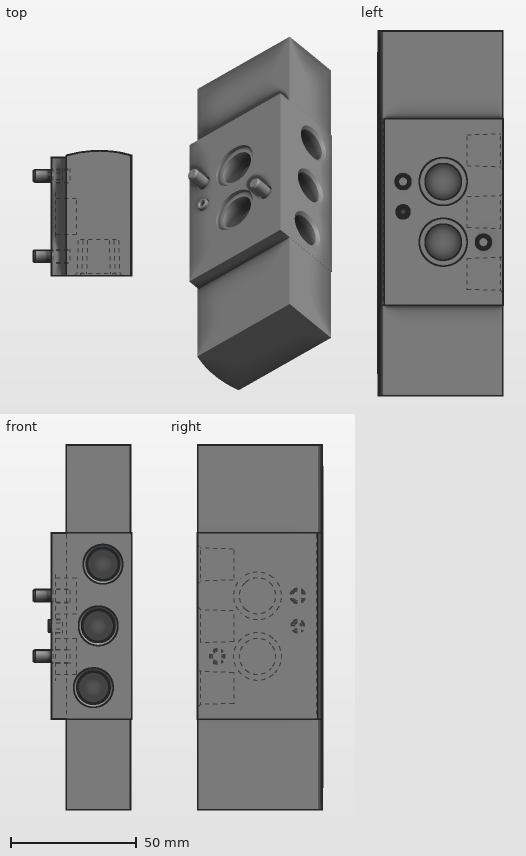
import cadquery as cq


BLOCK_WIDTH = 31.9
BLOCK_HEIGHT = 74.0
BLOCK_LEDGE_DEPTH = 47.1
BLOCK_RIGHT_DEPTH = 47.8

CROWN_START_X = 5.8
CROWN_TOP_Y = 49.7
BLOCK_CREST_X = 19.9

TOTAL_HEIGHT = 145.0
TOP_CAP_HEIGHT = 35.0
CAP_FRONT_SETBACK = 0.07
CAP_RIGHT_SETBACK = 0.5
CAP_SIDE_DEPTH = 47.8
CAP_EDGE_RADIUS = 0.6

SUPPLY_MOUTH_DIAMETER = 15.7
SUPPLY_BORE_DIAMETER = 13.2
SUPPLY_END_DIAMETER = 12.3
SUPPLY_CHAMFER = 1.2
SUPPLY_DEPTH = 14.5
SUPPLY_PITCH = 24.5
SUPPLY_SHIFT = 1.9
SUPPLY_MIDDLE_X = 18.5

OUTLET_BORE_DIAMETER = 14.4
OUTLET_DEPTH = 9.9
SEAL_RECESS_DIAMETER = 19.0
SEAL_RECESS_DEPTH = 1.6
OUTLET_PITCH = 24.0
OUTLET_Y = 23.8

SCREW_DIAMETER = 5.0
SCREW_PROJECTION = 7.2
SCREW_TIP_DIAMETER = 3.9
SCREW_TIP_LENGTH = 0.7
SCREW_HOLE_DIAMETER = 5.5
SCREW_HOLE_MOUTH_DIAMETER = 6.2
SCREW_HOLE_CHAMFER = 0.5
SCREW_HOLE_DEPTH = 7.2
SCREW_OFFSET_Y = 16.0

SLEEVE_DIAMETER = 5.0
SLEEVE_PROJECTION = 1.3
SLEEVE_BORE_DIAMETER = 2.5
SLEEVE_MOUTH_DIAMETER = 3.2
SLEEVE_BORE_CHAMFER = 0.5
SLEEVE_RIM_CHAMFER = 0.3
SLEEVE_HOLE_DIAMETER = 5.5
SLEEVE_HOLE_DEPTH = 4.4

CAP_RIGHT_X = BLOCK_WIDTH - CAP_RIGHT_SETBACK
CAP_CREST_X = (CROWN_START_X + CAP_RIGHT_X) / 2
CAP_TOP_Z = BLOCK_HEIGHT / 2 + TOP_CAP_HEIGHT
UPPER_ROW_Z = OUTLET_PITCH / 2
LOWER_ROW_Z = -OUTLET_PITCH / 2
SCREW_PLACES = [
    (OUTLET_Y + SCREW_OFFSET_Y, UPPER_ROW_Z),
    (OUTLET_Y - SCREW_OFFSET_Y, LOWER_ROW_Z),
]
SLEEVE_PLACE = (OUTLET_Y + SCREW_OFFSET_Y, 0)


def cylinder_x(diameter, depth, y, z):
    """Cylinder from the outlet face into the block."""
    return cq.Workplane("YZ", origin=(0, y, z)).circle(diameter / 2).extrude(depth)


def turned_x(profile, y, z):
    """Body turned about an axis along X; profile points are (x, radius)."""
    turned = cq.Workplane("XY").polyline(profile).close().revolve(360, (0, 0, 0), (1, 0, 0))
    return turned.translate((0, y, z))



def valve_block():
    return (
        cq.Workplane("XY", origin=(0, 0, -BLOCK_HEIGHT / 2))
        .lineTo(BLOCK_WIDTH, 0)
        .lineTo(BLOCK_WIDTH, BLOCK_RIGHT_DEPTH)
        .threePointArc((BLOCK_CREST_X, CROWN_TOP_Y), (CROWN_START_X, BLOCK_LEDGE_DEPTH))
        .lineTo(0, BLOCK_LEDGE_DEPTH)
        .close()
        .extrude(BLOCK_HEIGHT)
    )


def end_caps():
    """One full-height prism; its ends stand out of the block as the two caps."""
    prism = (
        cq.Workplane("XY", origin=(0, 0, CAP_TOP_Z - TOTAL_HEIGHT))
        .moveTo(CROWN_START_X, CAP_FRONT_SETBACK)
        .lineTo(CAP_RIGHT_X, CAP_FRONT_SETBACK)
        .lineTo(CAP_RIGHT_X, CAP_SIDE_DEPTH)
        .threePointArc((CAP_CREST_X, CROWN_TOP_Y), (CROWN_START_X, CAP_SIDE_DEPTH))
        .close()
        .extrude(TOTAL_HEIGHT)
    )
    return prism.edges("|Z").edges(">Y").fillet(CAP_EDGE_RADIUS)


def supply_port(row):
    profile = [
        (0, 0),
        (SUPPLY_MOUTH_DIAMETER / 2, 0),
        (SUPPLY_BORE_DIAMETER / 2, SUPPLY_CHAMFER),
        (SUPPLY_END_DIAMETER / 2, SUPPLY_DEPTH),
        (0, SUPPLY_DEPTH),
    ]
    turned = cq.Workplane("XY").polyline(profile).close().revolve(360, (0, 0, 0), (0, 1, 0))
    return turned.translate((SUPPLY_MIDDLE_X + row * SUPPLY_SHIFT, 0, row * SUPPLY_PITCH))


def outlet_port(z):
    bore = cylinder_x(OUTLET_BORE_DIAMETER, OUTLET_DEPTH, OUTLET_Y, z)
    return bore.union(cylinder_x(SEAL_RECESS_DIAMETER, SEAL_RECESS_DEPTH, OUTLET_Y, z))


def screw_hole(y, z):
    profile = [
        (0, 0),
        (0, SCREW_HOLE_MOUTH_DIAMETER / 2),
        (SCREW_HOLE_CHAMFER, SCREW_HOLE_DIAMETER / 2),
        (SCREW_HOLE_DEPTH, SCREW_HOLE_DIAMETER / 2),
        (SCREW_HOLE_DEPTH, 0),
    ]
    return turned_x(profile, y, z)


def make_housing():
    body = valve_block().union(end_caps())
    for row in (-1, 0, 1):
        body = body.cut(supply_port(row))
    for z in (LOWER_ROW_Z, UPPER_ROW_Z):
        body = body.cut(outlet_port(z))
    for y, z in SCREW_PLACES:
        body = body.cut(screw_hole(y, z))
    return body.cut(cylinder_x(SLEEVE_HOLE_DIAMETER, SLEEVE_HOLE_DEPTH, *SLEEVE_PLACE))



def make_screw(y, z):
    profile = [
        (SCREW_HOLE_DEPTH, 0),
        (SCREW_HOLE_DEPTH, SCREW_DIAMETER / 2),
        (SCREW_TIP_LENGTH - SCREW_PROJECTION, SCREW_DIAMETER / 2),
        (-SCREW_PROJECTION, SCREW_TIP_DIAMETER / 2),
        (-SCREW_PROJECTION, 0),
    ]
    return turned_x(profile, y, z)



def make_sleeve(y, z):
    profile = [
        (SLEEVE_HOLE_DEPTH, SLEEVE_BORE_DIAMETER / 2),
        (SLEEVE_HOLE_DEPTH, SLEEVE_DIAMETER / 2),
        (SLEEVE_RIM_CHAMFER - SLEEVE_PROJECTION, SLEEVE_DIAMETER / 2),
        (-SLEEVE_PROJECTION, SLEEVE_DIAMETER / 2 - SLEEVE_RIM_CHAMFER),
        (-SLEEVE_PROJECTION, SLEEVE_MOUTH_DIAMETER / 2),
        (SLEEVE_BORE_CHAMFER - SLEEVE_PROJECTION, SLEEVE_BORE_DIAMETER / 2),
    ]
    return turned_x(profile, y, z)


housing = make_housing().solids()
screws = [make_screw(y, z).val() for y, z in SCREW_PLACES]
locating_sleeve = make_sleeve(*SLEEVE_PLACE)

result = cq.Compound.makeCompound([housing.val(), *screws, locating_sleeve.val()])